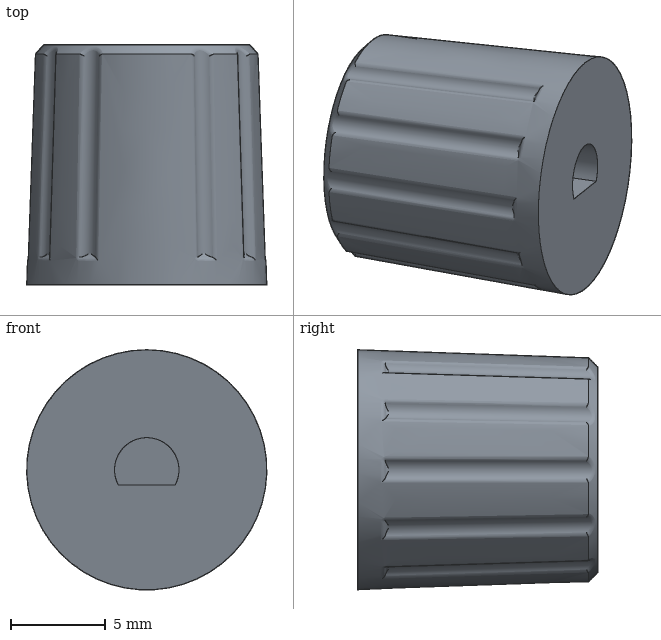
import cadquery as cq
import math

length = 12.7
base_radius = 6.35
draft_angle = 2.0
tip_chamfer = 0.5

shaft_radius = 1.7
flat_offset = 0.8
shaft_depth = 8.0

groove_start = 1.46
groove_radius = 0.72
groove_depth = 0.28
end_fillet = 0.23
lip_fillet = 0.27
groove_spacing = 30.0
grooves_per_side = 5

draft_slope = math.tan(math.radians(draft_angle))


def wall_radius(y):
    """Radius of the tapered wall at height y above the wide face."""
    return base_radius - y * draft_slope


def make_body():
    shoulder = length - tip_chamfer
    shoulder_radius = wall_radius(shoulder)
    return (
        cq.Workplane("YZ")
        .moveTo(0, 0)
        .lineTo(0, base_radius)
        .lineTo(shoulder, shoulder_radius)
        .lineTo(length, shoulder_radius - tip_chamfer)
        .lineTo(length, 0)
        .close()
        .revolve(360, (0, 0, 0), (1, 0, 0))
    )


def make_shaft_hole():
    half_flat = math.sqrt(shaft_radius**2 - flat_offset**2)
    return (
        cq.Workplane("XZ")
        .moveTo(-half_flat, -flat_offset)
        .threePointArc((0, shaft_radius), (half_flat, -flat_offset))
        .close()
        .extrude(-shaft_depth)
    )


def make_groove_cutter():
    """Round-bottomed cutter along the +X wall, its floor curving up at the closed end."""
    channel = (
        cq.Workplane("XZ")
        .center(groove_radius - groove_depth, 0)
        .circle(groove_radius)
        .extrude(-length)
    )
    block_width = 4 * groove_radius
    end_shape = (
        cq.Workplane("XY")
        .box(block_width, length, block_width, centered=(False, False, True))
        .edges("<X and <Y")
        .fillet(end_fillet)
        .translate((-groove_depth, 0, 0))
    )
    return (
        channel.intersect(end_shape)
        .rotate((0, 0, 0), (0, 0, 1), draft_angle)
        .translate((wall_radius(groove_start), groove_start, 0))
    )


def rim_edges(solid):
    """Edges that belong to a single face of the +X groove, so they border the outer skin."""
    half_width = 2 * groove_radius
    groove_box = cq.selectors.BoxSelector(
        (base_radius / 2, 0, -half_width),
        (base_radius, length, half_width),
        boundingbox=True,
    )
    rim = []
    for face in solid.faces(groove_box).vals():
        for edge in face.Edges():
            shared = [other for other in rim if other.isSame(edge)]
            if shared:
                rim.remove(shared[0])
            else:
                rim.append(edge)
    return rim


def make_groove_void(body):
    """Everything that one groove with a rounded rim removes from the +X side of the body."""
    grooved = body.cut(make_groove_cutter())
    rounded = grooved.val().fillet(lip_fillet, rim_edges(grooved))
    return body.cut(cq.Workplane(rounded))


result = make_body()
groove_void = make_groove_void(result)
first_angle = -groove_spacing * (grooves_per_side - 1) / 2
for side_angle in (0, 180):
    for index in range(grooves_per_side):
        angle = side_angle + first_angle + index * groove_spacing
        result = result.cut(groove_void.rotate((0, 0, 0), (0, 1, 0), angle))
result = result.cut(make_shaft_hole())